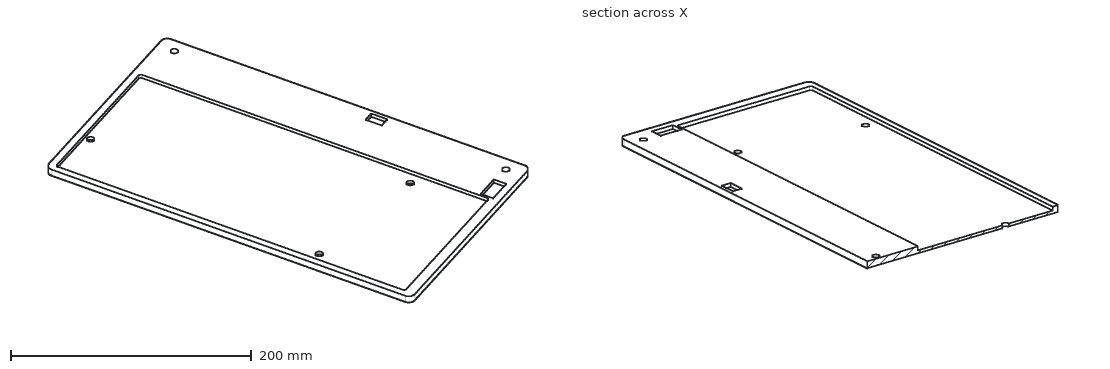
import cadquery as cq

length = 350.0
width = 200.0
thickness = 6.5
corner_radius = 6.0

pocket_left = 6.5
pocket_front = 6.0
pocket_length = 334.0
pocket_width = 140.7
pocket_depth = 3.5
pocket_corner_radius = 2.0

back_recess_left = 199.5
back_recess_length = 15.5
back_recess_width = 9.5
back_recess_edge_gap = 3.5
back_recess_depth = 3.5

side_recess_left = 331.5
side_recess_front = 148.8
side_recess_length = 12.0
side_recess_width = 22.0
side_recess_depth = 3.5

hole_diameter = 6.3
back_hole_inset = 16.5
back_hole_y = 187.2
hole_centers = [
    (back_hole_inset, back_hole_y),
    (length - back_hole_inset, back_hole_y),
    (12.0, 55.0),
    (252.5, 16.8),
    (271.2, 136.0),
]


def recess(left, front, size_x, size_y, depth):
    """Cutting block sunk from the top face to the given depth."""
    return (
        cq.Workplane("XY", origin=(left, front, thickness - depth))
        .box(size_x, size_y, depth, centered=False)
    )


plate = (
    cq.Workplane("XY")
    .box(length, width, thickness, centered=False)
    .edges("|Z")
    .fillet(corner_radius)
)

large_pocket = (
    recess(pocket_left, pocket_front, pocket_length, pocket_width, pocket_depth)
    .edges("|Z")
    .fillet(pocket_corner_radius)
)

back_recess_front = width - back_recess_edge_gap - back_recess_width
back_recess = recess(
    back_recess_left, back_recess_front, back_recess_length, back_recess_width, back_recess_depth
)
side_recess = recess(
    side_recess_left, side_recess_front, side_recess_length, side_recess_width, side_recess_depth
)

holes = (
    cq.Workplane("XY")
    .pushPoints(hole_centers)
    .circle(hole_diameter / 2)
    .extrude(thickness)
)

result = plate.cut(large_pocket).cut(back_recess).cut(side_recess).cut(holes)